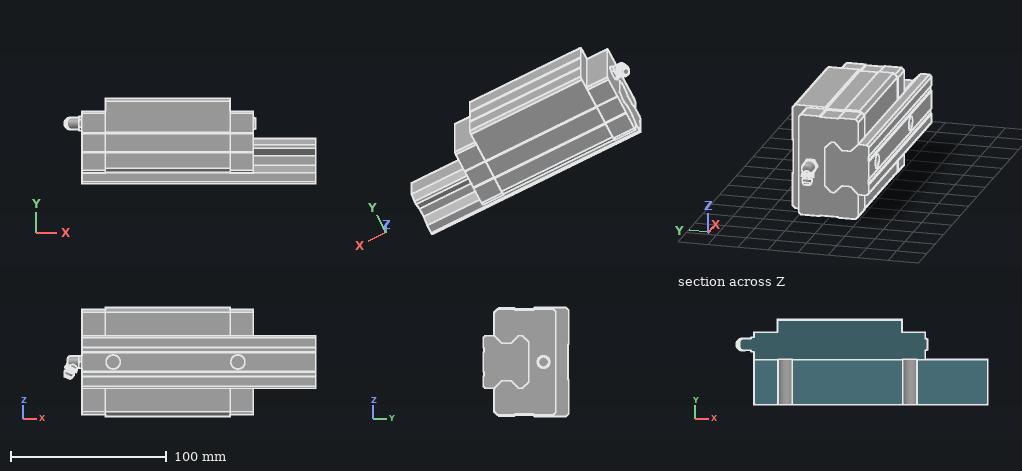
import cadquery as cq
import math


OVERALL_LENGTH = 161.5

RAIL_LENGTH = 150.0
RAIL_HEIGHT = 29.2
RAIL_HALF_WIDTH = 17.0
RAIL_FOOT_CHAMFER = 1.5
RACEWAY_DEPTH = 5.0
RAIL_WAIST_HALF_WIDTH = RAIL_HALF_WIDTH - RACEWAY_DEPTH
RAIL_WAIST_BOTTOM = 12.1
RAIL_WAIST_TOP = 18.0
RAIL_FOOT_TOP = RAIL_WAIST_BOTTOM - RACEWAY_DEPTH
RAIL_HEAD_BOTTOM = RAIL_WAIST_TOP + RACEWAY_DEPTH
RAIL_HEAD_SHOULDER = 25.0
RAIL_TOP_HALF_WIDTH = 12.9

FOOT_GROOVE_OFFSET = 7.8
FOOT_GROOVE_WIDTH = 3.5
FOOT_GROOVE_DEPTH = 0.5

BOLT_HOLE_DIAMETER = 9.0
FIRST_BOLT_HOLE_X = 20.0
BOLT_HOLE_SPACING = 80.0
BOLT_HOLE_COUNT = 2

END_CAP_LENGTH = 15.0
CAP_TOP = 46.7
CAP_BOTTOM = 7.0
CAP_HALF_WIDTH = 33.7
CAP_TOP_CHAMFER = 1.5
CAP_BOTTOM_CHAMFER = 2.0

BLOCK_LENGTH = 80.0
CARRIAGE_LENGTH = BLOCK_LENGTH + 2 * END_CAP_LENGTH
BLOCK_TOP = 55.0
BLOCK_BOTTOM = 7.5
BLOCK_OVERHANG = 1.26
BLOCK_HALF_WIDTH = CAP_HALF_WIDTH + BLOCK_OVERHANG
BLOCK_LOWER_HALF_WIDTH = 34.7
BLOCK_TOP_CHAMFER = 2.0
BLOCK_BOTTOM_CHAMFER = 2.7
BLOCK_TOP_RECESS_HALF_WIDTH = 11.3
BLOCK_TOP_RECESS_DEPTH = 0.5

BAND_FLOOR_BOTTOM = 20.5
BAND_FLOOR_TOP = 32.3
BLOCK_BAND_DEPTH = 0.8
CAP_BAND_DEPTH = 0.5

PORT_Y = 38.8
HEX_SIDES = 6
HEX_ACROSS_FLATS = 8.2
HEX_THICKNESS = 2.0
HEX_CORNER_BEVEL = 0.3
ELBOW_DIAMETER = 7.9
ELBOW_LENGTH = 9.4
ELBOW_END_FILLET = 2.5
NIPPLE_ANGLE = math.radians(67.5)
NIPPLE_BASE_DIAMETER = 7.3
NIPPLE_FLANGE_DIAMETER = 7.9
NIPPLE_NECK_DIAMETER = 5.5
NIPPLE_HEAD_DIAMETER = 6.6
NIPPLE_CONE_DIAMETER = 5.7
NIPPLE_TIP_DIAMETER = 4.0
BASE_END = 3.9
UPPER_FLANGE_START = 4.2
UPPER_FLANGE_END = 4.7
FLANGE_GROOVE = 5.0
LOWER_FLANGE_START = 5.2
LOWER_FLANGE_END = 5.7
NECK_END = 6.8
HEAD_START = 7.3
HEAD_END = 7.8
CONE_BREAK = 9.7
TIP_END = 11.0
NIPPLE_REACH = CONE_BREAK * math.cos(NIPPLE_ANGLE) + NIPPLE_CONE_DIAMETER / 2 * math.sin(NIPPLE_ANGLE)
NIPPLE_AXIS_X = RAIL_LENGTH - OVERALL_LENGTH + NIPPLE_REACH

PLUG_DIAMETER = 7.9
PLUG_LENGTH = 1.5
PLUG_END_DIAMETER = 6.6


def mirrored_prism(half_outline, x_start, length):
    """Extrude along X the (Z, Y) outline made of half_outline and its mirror image about Z = 0."""
    other_half = [(-z, y) for z, y in reversed(half_outline)]
    section_plane = cq.Plane(origin=(x_start, 0, 0), xDir=(0, 0, -1), normal=(1, 0, 0))
    return cq.Workplane(section_plane).polyline(half_outline + other_half).close().extrude(length)


def rail_blank():
    half_outline = [
        (RAIL_HALF_WIDTH - RAIL_FOOT_CHAMFER, 0),
        (RAIL_HALF_WIDTH, RAIL_FOOT_CHAMFER),
        (RAIL_HALF_WIDTH, RAIL_FOOT_TOP),
        (RAIL_WAIST_HALF_WIDTH, RAIL_WAIST_BOTTOM),
        (RAIL_WAIST_HALF_WIDTH, RAIL_WAIST_TOP),
        (RAIL_HALF_WIDTH, RAIL_HEAD_BOTTOM),
        (RAIL_HALF_WIDTH, RAIL_HEAD_SHOULDER),
        (RAIL_TOP_HALF_WIDTH, RAIL_HEIGHT),
    ]
    return mirrored_prism(half_outline, 0, RAIL_LENGTH)


def foot_groove(side):
    """Groove whose walls slope at 45 degrees, widest at the foot."""
    floor_half_width = FOOT_GROOVE_WIDTH / 2 - FOOT_GROOVE_DEPTH
    half_outline = [
        (FOOT_GROOVE_WIDTH / 2, 0),
        (floor_half_width, FOOT_GROOVE_DEPTH),
    ]
    return mirrored_prism(half_outline, 0, RAIL_LENGTH).translate((0, 0, side * FOOT_GROOVE_OFFSET))


def bolt_hole(x):
    mounting_plane = cq.Plane(origin=(x, 0, 0), xDir=(1, 0, 0), normal=(0, 1, 0))
    return cq.Workplane(mounting_plane).circle(BOLT_HOLE_DIAMETER / 2).extrude(RAIL_HEIGHT)


def make_rail():
    rail = rail_blank()
    for side in (-1, 1):
        rail = rail.cut(foot_groove(side))
    for index in range(BOLT_HOLE_COUNT):
        rail = rail.cut(bolt_hole(FIRST_BOLT_HOLE_X + index * BOLT_HOLE_SPACING))
    return rail


def make_block():
    band_half_width = BLOCK_HALF_WIDTH - BLOCK_BAND_DEPTH
    lower_step = BLOCK_LOWER_HALF_WIDTH - band_half_width
    half_outline = [
        (BLOCK_LOWER_HALF_WIDTH - BLOCK_BOTTOM_CHAMFER, BLOCK_BOTTOM),
        (BLOCK_LOWER_HALF_WIDTH, BLOCK_BOTTOM + BLOCK_BOTTOM_CHAMFER),
        (BLOCK_LOWER_HALF_WIDTH, BAND_FLOOR_BOTTOM - lower_step),
        (band_half_width, BAND_FLOOR_BOTTOM),
        (band_half_width, BAND_FLOOR_TOP),
        (BLOCK_HALF_WIDTH, BAND_FLOOR_TOP + BLOCK_BAND_DEPTH),
        (BLOCK_HALF_WIDTH, BLOCK_TOP - BLOCK_TOP_CHAMFER),
        (BLOCK_HALF_WIDTH - BLOCK_TOP_CHAMFER, BLOCK_TOP),
        (BLOCK_TOP_RECESS_HALF_WIDTH, BLOCK_TOP),
        (BLOCK_TOP_RECESS_HALF_WIDTH, BLOCK_TOP - BLOCK_TOP_RECESS_DEPTH),
    ]
    return mirrored_prism(half_outline, END_CAP_LENGTH, BLOCK_LENGTH)


def make_end_cap(x_start):
    band_half_width = CAP_HALF_WIDTH - CAP_BAND_DEPTH
    half_outline = [
        (CAP_HALF_WIDTH - CAP_BOTTOM_CHAMFER, CAP_BOTTOM),
        (CAP_HALF_WIDTH, CAP_BOTTOM + CAP_BOTTOM_CHAMFER),
        (CAP_HALF_WIDTH, BAND_FLOOR_BOTTOM - CAP_BAND_DEPTH),
        (band_half_width, BAND_FLOOR_BOTTOM),
        (band_half_width, BAND_FLOOR_TOP),
        (CAP_HALF_WIDTH, BAND_FLOOR_TOP + CAP_BAND_DEPTH),
        (CAP_HALF_WIDTH, CAP_TOP - CAP_TOP_CHAMFER),
        (CAP_HALF_WIDTH - CAP_TOP_CHAMFER, CAP_TOP),
    ]
    return mirrored_prism(half_outline, x_start, END_CAP_LENGTH)


def make_elbow():
    """Bevelled hexagon with corners towards +Y and -Y, and a round-ended cylinder pointing to -X."""
    port_plane = cq.Plane(origin=(0, PORT_Y, 0), xDir=(0, 1, 0), normal=(-1, 0, 0))
    hex_across_corners = HEX_ACROSS_FLATS / math.cos(math.pi / HEX_SIDES)
    hexagon = cq.Workplane(port_plane).polygon(HEX_SIDES, hex_across_corners).extrude(HEX_THICKNESS)
    bevelled_disc = cq.Workplane(port_plane).circle(hex_across_corners / 2).extrude(HEX_THICKNESS)
    hexagon = hexagon.intersect(bevelled_disc.faces("<X").edges().chamfer(HEX_CORNER_BEVEL))
    barrel = cq.Workplane(port_plane).circle(ELBOW_DIAMETER / 2).extrude(ELBOW_LENGTH)
    return hexagon.union(barrel.faces("<X").edges().fillet(ELBOW_END_FILLET))


def make_nipple():
    """Turned nipple leaving the elbow downwards and towards -X."""
    nipple_plane = cq.Plane(
        origin=(NIPPLE_AXIS_X, PORT_Y, 0),
        xDir=(-math.sin(NIPPLE_ANGLE), 0, math.cos(NIPPLE_ANGLE)),
        normal=(0, 1, 0),
    )
    diameters_along_axis = [
        (0, 0),
        (NIPPLE_BASE_DIAMETER, 0),
        (NIPPLE_BASE_DIAMETER, BASE_END),
        (NIPPLE_FLANGE_DIAMETER, UPPER_FLANGE_START),
        (NIPPLE_FLANGE_DIAMETER, UPPER_FLANGE_END),
        (NIPPLE_BASE_DIAMETER, FLANGE_GROOVE),
        (NIPPLE_FLANGE_DIAMETER, LOWER_FLANGE_START),
        (NIPPLE_FLANGE_DIAMETER, LOWER_FLANGE_END),
        (NIPPLE_NECK_DIAMETER, LOWER_FLANGE_END),
        (NIPPLE_NECK_DIAMETER, NECK_END),
        (NIPPLE_HEAD_DIAMETER, HEAD_START),
        (NIPPLE_HEAD_DIAMETER, HEAD_END),
        (NIPPLE_CONE_DIAMETER, CONE_BREAK),
        (NIPPLE_TIP_DIAMETER, TIP_END),
        (0, TIP_END),
    ]
    half_section = [(diameter / 2, -distance) for diameter, distance in diameters_along_axis]
    return cq.Workplane(nipple_plane).polyline(half_section).close().revolve(360, (0, 0), (0, 1))


def make_plug():
    """Conical plug, widest at the cap face."""
    port_plane = cq.Plane(origin=(CARRIAGE_LENGTH, PORT_Y, 0), xDir=(0, 1, 0), normal=(1, 0, 0))
    base = cq.Workplane(port_plane).circle(PLUG_DIAMETER / 2)
    return base.workplane(offset=PLUG_LENGTH).circle(PLUG_END_DIAMETER / 2).loft()


def make_carriage():
    carriage = make_block()
    for cap_start in (0, END_CAP_LENGTH + BLOCK_LENGTH):
        carriage = carriage.union(make_end_cap(cap_start))
    carriage = carriage.cut(rail_blank())
    for fitting in (make_elbow(), make_nipple(), make_plug()):
        carriage = carriage.union(fitting)
    return carriage


rail = make_rail()
carriage = make_carriage()
result = cq.Compound.makeCompound([rail.val(), carriage.val()])